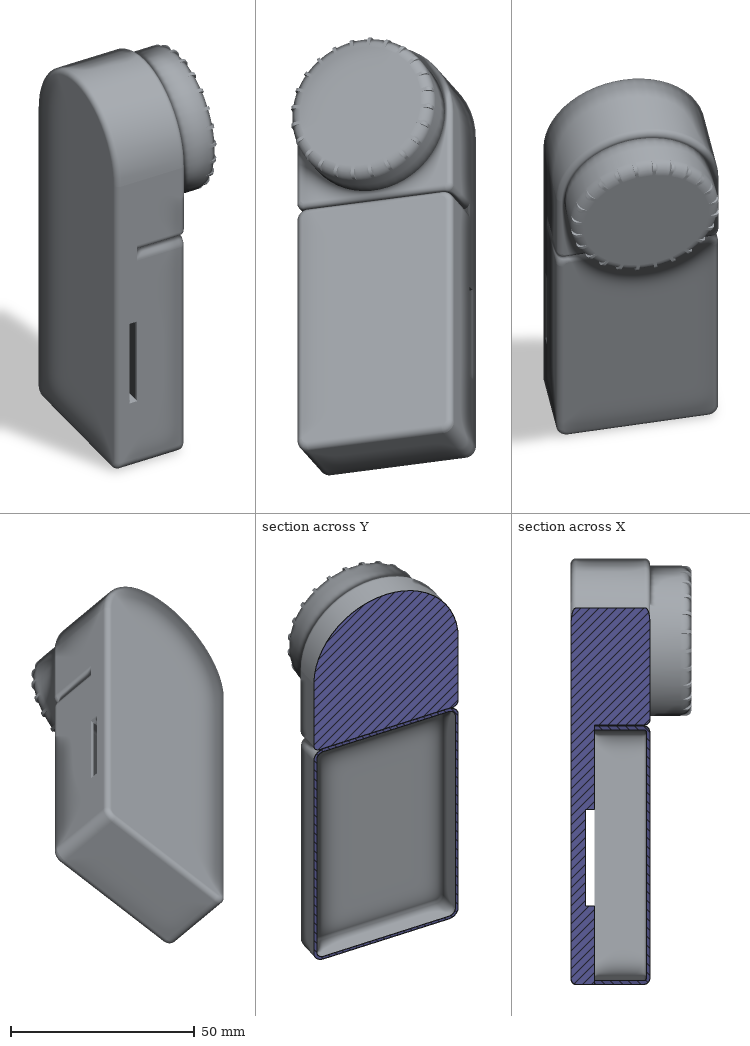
import cadquery as cq

height = 116.5
width = 45.0
housing_depth = 21.7
plate_depth = 6.5
joint_z = 71.1
corner_radius = 3.0
joint_radius = 2.0
edge_radius = 1.5

cover_edge_radius = 1.7
cover_wall = 1.0

slot_depth = 2.5
slot_bottom = 21.8
slot_height = 26.2

knob_radius = 20.5
knob_length = 11.3
knob_edge_radius = 3.0
rib_edge_radius = 1.5
rib_width = 0.9
rib_count = 24
first_rib_angle = 7.0

half_width = width / 2
axis_z = height - half_width


def xz_plane(y, z=0.0):
    """Plane parallel to the front face, with its normal along +Y; local x is -X."""
    return cq.Plane(origin=(0, y, z), xDir=(-1, 0, 0), normal=(0, 1, 0))


def arched_block(bottom_z, bottom_radius, front_y, depth):
    """Block with a semicircular top and two rounded bottom corners."""
    block = (
        cq.Workplane(xz_plane(front_y))
        .moveTo(-half_width, bottom_z)
        .lineTo(half_width, bottom_z)
        .lineTo(half_width, axis_z)
        .threePointArc((0, height), (-half_width, axis_z))
        .close()
        .extrude(depth)
    )
    return block.edges("|Y").edges("<Z").fillet(bottom_radius)


def make_housing():
    """Tall front plate with a deeper upper part that carries the knob."""
    plate = arched_block(0, corner_radius, 0, plate_depth)
    plate = plate.faces("<Y").edges().fillet(edge_radius)
    upper = arched_block(joint_z, joint_radius, plate_depth, housing_depth - plate_depth)
    upper = upper.faces(">Y").edges().fillet(edge_radius)
    slot = cq.Workplane("XY").box(width, slot_depth, slot_height, centered=(True, False, False))
    slot = slot.translate((0, plate_depth - slot_depth, slot_bottom))
    return plate.union(upper).cut(slot)


def rounded_box(inset, depth):
    """Box of the cover's outline moved inwards by the inset, rounded at its corners and back face."""
    box = cq.Workplane("XY").box(
        width - 2 * inset,
        depth,
        joint_z - 2 * inset,
        centered=(True, False, False),
    )
    box = box.translate((0, plate_depth, inset))
    box = box.edges("|Y").fillet(corner_radius - inset)
    return box.faces(">Y").edges().fillet(cover_edge_radius - inset)


def make_cover():
    """Thin-walled rounded box, open to the front, closing the lower back of the housing."""
    cover_depth = housing_depth - plate_depth
    cavity = rounded_box(cover_wall, cover_depth - cover_wall)
    return rounded_box(0, cover_depth).cut(cavity)


def knob_blank(rounding):
    """Knob cylinder with its outer rim rounded."""
    blank = cq.Workplane(xz_plane(housing_depth, axis_z)).circle(knob_radius).extrude(knob_length)
    return blank.faces(">Y").edges().fillet(rounding)


def make_knob():
    """Round knob with radial grip ribs standing out of its rounded rim."""
    rib_length = 2 * knob_edge_radius
    spokes = (
        cq.Workplane(xz_plane(housing_depth + knob_length - knob_edge_radius, axis_z))
        .polarArray(knob_radius, 180 - first_rib_angle, 360, rib_count)
        .rect(rib_length, rib_width)
        .extrude(knob_edge_radius)
    )
    ribs = knob_blank(rib_edge_radius).intersect(spokes)
    return knob_blank(knob_edge_radius).union(ribs)


housing = make_housing()
cover = make_cover()
knob = make_knob()

result = cq.Compound.makeCompound([body.solids().val() for body in (housing, cover, knob)])